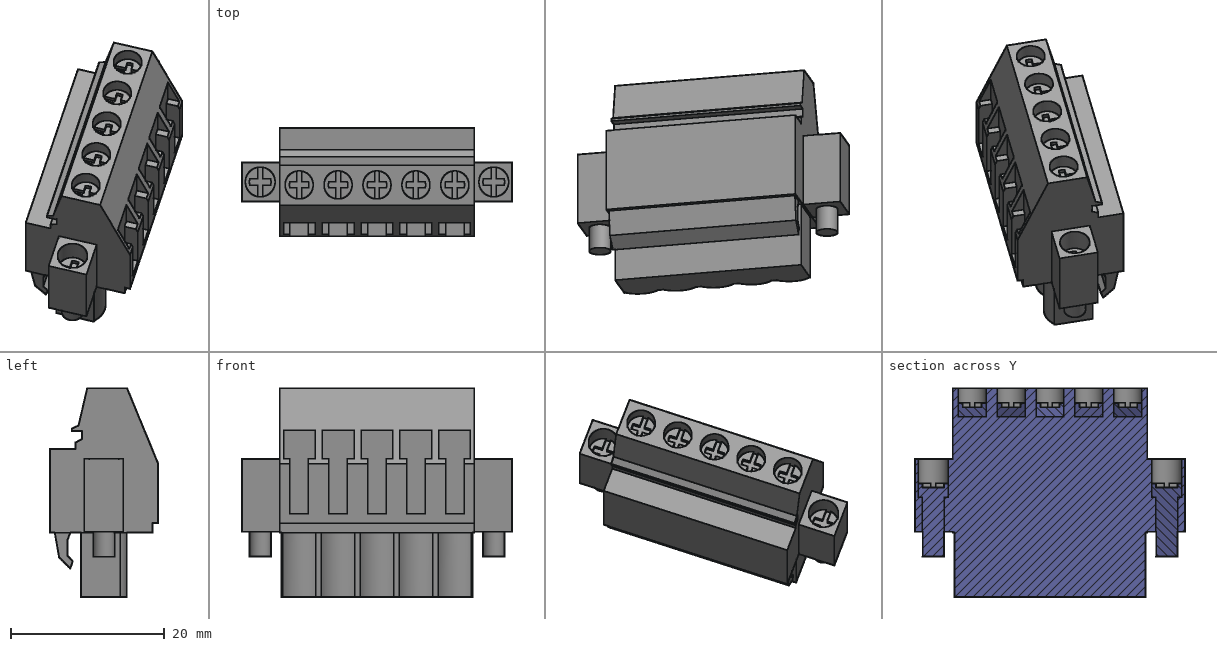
import cadquery as cq


OVERALL_LENGTH = 35.2
POLE_COUNT = 5
POLE_PITCH = 5.07
BODY_LENGTH = POLE_COUNT * POLE_PITCH
POLE_XS = [(i - (POLE_COUNT - 1) / 2) * POLE_PITCH for i in range(POLE_COUNT)]

BODY_HEIGHT = 18.83
FRONT_Y = -7.08
BACK_Y = 7.05
FRONT_LIP_DEPTH = 0.75
FRONT_LIP_HEIGHT = 1.25
FRONT_WALL_TOP = 9.0
TOP_FRONT_Y = -3.03
TOP_BACK_Y = 2.2
BACK_SHELF_Z = 10.9
BACK_STEP_Y = 3.7
BACK_STEP_Z = 11.75
GROOVE_Y = 2.85
GROOVE_BOTTOM_Z = 12.2
GROOVE_TOP_Z = 13.25
RIDGE_Y = 4.2
RIDGE_EDGE_Z = 13.55
RIDGE_ROOT_Y = 3.3
RIDGE_ROOT_Z = 13.97

WINDOW_BACK_Y = -5.28
WINDOW_SILL_Z = 9.6
WINDOW_OUTER_WALL = 0.53
WINDOW_SEPARATOR = 0.9
WIRE_SLOT_WIDTH = 2.43
WIRE_SLOT_FLOOR_Z = 2.5

SOCKET_LENGTH = 24.92
SOCKET_DEPTH = 8.38
SOCKET_BACK_Y = 3.0
SOCKET_FLAT_Y = -2.1
SOCKET_LOBE_FRONT_Y = -3.0
SOCKET_LOBE_WIDTH = 4.33

LATCH_OUTER_Y = 6.4
LATCH_INNER_Y = 4.35
LATCH_NECK_Y = 4.7
LATCH_NECK_TOP_Z = -0.95
LATCH_NECK_BOTTOM_Z = -3.0
LATCH_BEND_Y = 5.85
LATCH_BEND_Z = -3.2
LATCH_BARB_Y = 4.05
LATCH_BARB_Z = -3.7
LATCH_TIP_Y = 4.35
LATCH_TIP_Z = -4.68

FLANGE_WIDTH = 5.1
FLANGE_BOTTOM_Z = 0.1
FLANGE_TOP_Z = 9.6
FLANGE_LENGTH = (OVERALL_LENGTH - BODY_LENGTH) / 2
FLANGE_SCREW_OFFSET = 15.2

TERMINAL_Y = -0.4
TERMINAL_HEAD_RADIUS = 1.83
TERMINAL_WELL_DEPTH = 1.95
TERMINAL_HEAD_THICKNESS = 1.75
TERMINAL_CROSS_SLOT_WIDTH = 0.77
TERMINAL_CROSS_SLOT_RADIUS = 1.25

FLANGE_HEAD_RADIUS = 1.95
FLANGE_WELL_DEPTH = 3.17
FLANGE_HEAD_THICKNESS = 1.75
FLANGE_SHANK_RADIUS = 1.4
FLANGE_SHANK_END_Z = -3.1
FLANGE_CROSS_SLOT_WIDTH = 0.88

MAIN_SLOT_WIDTH = 0.65
DRIVER_SLOT_DEPTH = 0.53

TERMINAL_HEAD_TOP_Z = BODY_HEIGHT - TERMINAL_WELL_DEPTH
TERMINAL_HEAD_BOTTOM_Z = TERMINAL_HEAD_TOP_Z - TERMINAL_HEAD_THICKNESS
FLANGE_HEAD_TOP_Z = FLANGE_TOP_Z - FLANGE_WELL_DEPTH
FLANGE_HEAD_BOTTOM_Z = FLANGE_HEAD_TOP_Z - FLANGE_HEAD_THICKNESS


def box(x0, x1, y0, y1, z0, z1):
    """Axis-aligned block between two opposite corners."""
    return cq.Workplane("XY").box(x1 - x0, y1 - y0, z1 - z0, centered=False).translate((x0, y0, z0))


def cylinder(x, y, radius, z0, z1):
    """Vertical cylinder between two heights."""
    return cq.Workplane("XY", origin=(x, y, z0)).circle(radius).extrude(z1 - z0)


def extrude_along_x(section, length):
    """Solid of a (Y, Z) outline, centred on X = 0."""
    return cq.Workplane("YZ").polyline(section).close().extrude(length / 2, both=True)



def make_body():
    section = [
        (FRONT_Y + FRONT_LIP_DEPTH, 0),
        (FRONT_Y + FRONT_LIP_DEPTH, FRONT_LIP_HEIGHT),
        (FRONT_Y, FRONT_LIP_HEIGHT),
        (FRONT_Y, FRONT_WALL_TOP),
        (TOP_FRONT_Y, BODY_HEIGHT),
        (TOP_BACK_Y, BODY_HEIGHT),
        (RIDGE_ROOT_Y, RIDGE_ROOT_Z),
        (RIDGE_Y, RIDGE_EDGE_Z),
        (RIDGE_Y, GROOVE_TOP_Z),
        (GROOVE_Y, GROOVE_TOP_Z),
        (GROOVE_Y, GROOVE_BOTTOM_Z),
        (BACK_STEP_Y, BACK_STEP_Z),
        (BACK_STEP_Y, BACK_SHELF_Z),
        (BACK_Y, BACK_SHELF_Z),
        (BACK_Y, 0),
    ]
    return extrude_along_x(section, BODY_LENGTH)


def make_latch():
    section = [
        (LATCH_OUTER_Y, 0),
        (LATCH_BEND_Y, LATCH_BEND_Z),
        (LATCH_TIP_Y, LATCH_TIP_Z),
        (LATCH_BARB_Y, LATCH_BARB_Z),
        (LATCH_NECK_Y, LATCH_NECK_BOTTOM_Z),
        (LATCH_NECK_Y, LATCH_NECK_TOP_Z),
        (LATCH_INNER_Y, 0),
    ]
    return extrude_along_x(section, SOCKET_LENGTH)


def make_sockets():
    """Block with one rounded lobe per pole bulging out of its front."""
    half_length = SOCKET_LENGTH / 2
    half_lobe = SOCKET_LOBE_WIDTH / 2
    outline = cq.Workplane("XY").moveTo(-half_length, SOCKET_BACK_Y).lineTo(-half_length, SOCKET_FLAT_Y)
    for x in POLE_XS:
        outline = outline.lineTo(x - half_lobe, SOCKET_FLAT_Y)
        outline = outline.threePointArc((x, SOCKET_LOBE_FRONT_Y), (x + half_lobe, SOCKET_FLAT_Y))
    outline = outline.lineTo(half_length, SOCKET_FLAT_Y).lineTo(half_length, SOCKET_BACK_Y)
    return outline.close().extrude(-SOCKET_DEPTH)


def make_flange(side):
    inner_x = side * BODY_LENGTH / 2
    outer_x = inner_x + side * FLANGE_LENGTH
    return box(
        min(inner_x, outer_x), max(inner_x, outer_x),
        -FLANGE_WIDTH / 2, FLANGE_WIDTH / 2,
        FLANGE_BOTTOM_Z, FLANGE_TOP_Z,
    )


def make_wire_window(x):
    """T-shaped recess: a wide window through the sloped face above a narrower slot."""
    half_window = (POLE_PITCH - WINDOW_SEPARATOR) / 2
    wall_limit = BODY_LENGTH / 2 - WINDOW_OUTER_WALL
    left = max(x - half_window, -wall_limit)
    right = min(x + half_window, wall_limit)
    window = box(left, right, FRONT_Y, WINDOW_BACK_Y, WINDOW_SILL_Z, BODY_HEIGHT)
    half_slot = WIRE_SLOT_WIDTH / 2
    slot = box(x - half_slot, x + half_slot, FRONT_Y, WINDOW_BACK_Y, WIRE_SLOT_FLOOR_Z, WINDOW_SILL_Z)
    return window.union(slot)


def make_housing():
    housing = make_body().union(make_sockets()).union(make_latch())
    for side in (-1, 1):
        housing = housing.union(make_flange(side))
    for x in POLE_XS:
        housing = housing.cut(make_wire_window(x))
        well = cylinder(x, TERMINAL_Y, TERMINAL_HEAD_RADIUS, TERMINAL_HEAD_BOTTOM_Z, BODY_HEIGHT)
        housing = housing.cut(well)
    for side in (-1, 1):
        x = side * FLANGE_SCREW_OFFSET
        housing = housing.cut(cylinder(x, 0, FLANGE_HEAD_RADIUS, FLANGE_HEAD_BOTTOM_Z, FLANGE_TOP_Z))
        housing = housing.cut(cylinder(x, 0, FLANGE_SHANK_RADIUS, FLANGE_BOTTOM_Z, FLANGE_HEAD_BOTTOM_Z))
    return housing



def cut_driver_slots(screw, x, y, top_z, head_radius, cross_width, cross_radius):
    """Slot across the whole head along Y, crossed by a shorter round-ended slot along X."""
    floor_z = top_z - DRIVER_SLOT_DEPTH
    half_main = MAIN_SLOT_WIDTH / 2
    half_cross = cross_width / 2
    main_slot = box(x - half_main, x + half_main, y - head_radius, y + head_radius, floor_z, top_z)
    cross_slot = box(x - cross_radius, x + cross_radius, y - half_cross, y + half_cross, floor_z, top_z)
    cross_slot = cross_slot.intersect(cylinder(x, y, cross_radius, floor_z, top_z))
    return screw.cut(main_slot).cut(cross_slot)


def make_terminal_screw(x):
    screw = cylinder(x, TERMINAL_Y, TERMINAL_HEAD_RADIUS, TERMINAL_HEAD_BOTTOM_Z, TERMINAL_HEAD_TOP_Z)
    return cut_driver_slots(
        screw, x, TERMINAL_Y, TERMINAL_HEAD_TOP_Z, TERMINAL_HEAD_RADIUS,
        TERMINAL_CROSS_SLOT_WIDTH, TERMINAL_CROSS_SLOT_RADIUS,
    )


def make_flange_screw(x):
    head = cylinder(x, 0, FLANGE_HEAD_RADIUS, FLANGE_HEAD_BOTTOM_Z, FLANGE_HEAD_TOP_Z)
    shank = cylinder(x, 0, FLANGE_SHANK_RADIUS, FLANGE_SHANK_END_Z, FLANGE_HEAD_BOTTOM_Z)
    return cut_driver_slots(
        head.union(shank), x, 0, FLANGE_HEAD_TOP_Z, FLANGE_HEAD_RADIUS,
        FLANGE_CROSS_SLOT_WIDTH, FLANGE_SHANK_RADIUS,
    )


housing = make_housing()
terminal_screws = [make_terminal_screw(x) for x in POLE_XS]
flange_screws = [make_flange_screw(side * FLANGE_SCREW_OFFSET) for side in (-1, 1)]

result = cq.Compound.makeCompound([
    housing.solids().val(),
    *[screw.solids().val() for screw in terminal_screws],
    *[screw.solids().val() for screw in flange_screws],
])